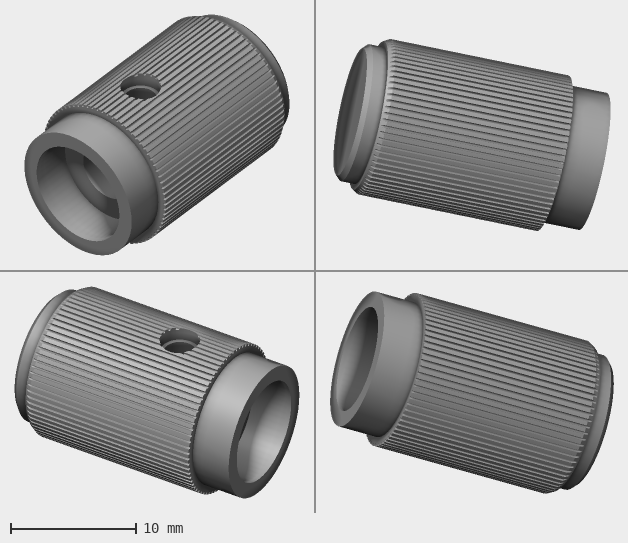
import cadquery as cq
import math

overall_length = 20.07
front_collar_length = 3.31
rear_collar_length = 1.53
knurl_end = overall_length - rear_collar_length

knurl_radius = 12.7 / 2
collar_radius = 11.2 / 2

rear_collar_chamfer = 0.4
knurl_chamfer_length = 0.5
knurl_chamfer_angle = 30.0
knurl_chamfer_height = knurl_chamfer_length * math.tan(math.radians(knurl_chamfer_angle))

tooth_count = 75
groove_width = 0.2
groove_depth = 0.22

counterbore_radius = 8.63 / 2
counterbore_depth = 3.55
bore_radius = 4.84 / 2
bore_depth = 13.05

side_hole_y = 7.79
side_hole_mouth_radius = 3.25 / 2
side_hole_ledge_z = 5.04
side_hole_radius = 2.63 / 2
side_hole_floor_z = 3.01


def disc(radius, start, end):
    """Cylinder about the Y axis reaching from start to end along Y."""
    return cq.Workplane("XZ", origin=(0, start, 0)).circle(radius).extrude(start - end)


def turned_body():
    """Solid of revolution: front collar, sleeve and chamfered rear collar."""
    profile = [
        (0, 0),
        (collar_radius, 0),
        (collar_radius, front_collar_length),
        (knurl_radius, front_collar_length),
        (knurl_radius, knurl_end - knurl_chamfer_length),
        (knurl_radius - knurl_chamfer_height, knurl_end),
        (collar_radius, knurl_end),
        (collar_radius, overall_length - rear_collar_chamfer),
        (collar_radius - rear_collar_chamfer, overall_length),
        (0, overall_length),
    ]
    return cq.Workplane("XY").polyline(profile).close().revolve(360, (0, 0, 0), (0, 1, 0))


def knurl_groove():
    """One groove at the +Z side of the sleeve, running its full length."""
    half_width = groove_width / 2
    bottom_z = knurl_radius - groove_depth
    arc_start_z = bottom_z + half_width
    open_top_z = knurl_radius + groove_width
    section = cq.Workplane("XZ", origin=(0, front_collar_length, 0)).moveTo(-half_width, open_top_z)
    section = section.lineTo(-half_width, arc_start_z)
    section = section.threePointArc((0, bottom_z), (half_width, arc_start_z))
    section = section.lineTo(half_width, open_top_z).close()
    return section.extrude(front_collar_length - knurl_end)


def knurl_grooves():
    """Grooves all around the sleeve, leaving a tooth centred on +Z."""
    pitch = 360 / tooth_count
    groove = knurl_groove()
    grooves = [
        groove.rotate((0, 0, 0), (0, 1, 0), (tooth + 0.5) * pitch).val()
        for tooth in range(tooth_count)
    ]
    return cq.Workplane(cq.Compound.makeCompound(grooves))


def side_hole_step(radius, floor_z):
    """Flat-bottomed vertical hole open at the top of the sleeve."""
    start = cq.Workplane("XY", origin=(0, side_hole_y, floor_z))
    return start.circle(radius).extrude(knurl_radius - floor_z)


result = turned_body().cut(knurl_grooves())
result = result.cut(disc(counterbore_radius, 0, counterbore_depth))
result = result.cut(disc(bore_radius, 0, bore_depth))
result = result.cut(side_hole_step(side_hole_mouth_radius, side_hole_ledge_z))
result = result.cut(side_hole_step(side_hole_radius, side_hole_floor_z))